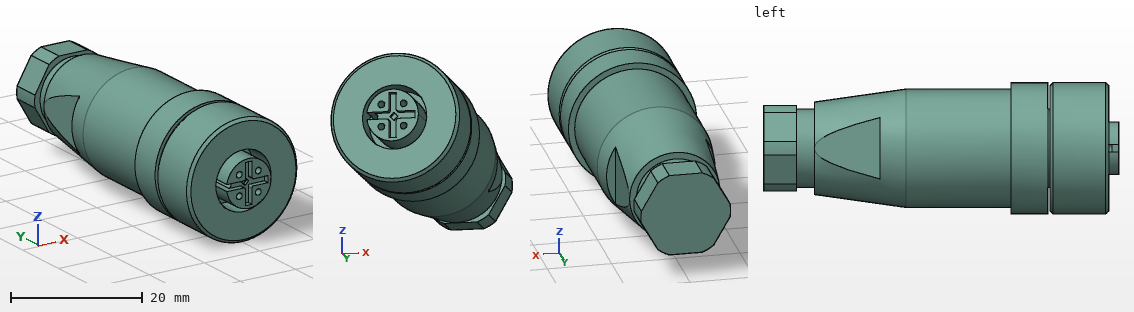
import cadquery as cq
import math


TIP_Y = 0.0
NUT_FRONT_Y = 1.5
NUT_BACK_Y = 10.5
COLLAR_FRONT_Y = 10.8
COLLAR_BACK_Y = 16.4
TAPER_START_Y = 32.35
FLAT_START_Y = 36.35
TAPER_END_Y = 46.3
HEX_FRONT_Y = 49.0
CABLE_END_Y = 54.0

NUT_DIAMETER = 20.05
NUT_CHAMFER = 0.5
COLLAR_DIAMETER = 20.0
NECK_DIAMETER = 12.0
BODY_DIAMETER = 18.05
TAPER_END_DIAMETER = 14.1
FLATS_WIDTH = TAPER_END_DIAMETER
HEX_ACROSS_FLATS = 13.0
HEX_CORNER_DIAMETER = 14.0

RECESS_DIAMETER = 10.0
INSERT_DIAMETER = 8.05
RECESS_FLOOR_Y = 6.5
INSERT_ROOT_LENGTH = 1.1
CROSS_LENGTH = 6.95
CROSS_WIDTH = 1.15
CROSS_DEPTH = 1.0
CROSS_CORNER_RADIUS = 0.3
CENTRE_SQUARE_DIAGONAL = 1.25
CENTRE_SQUARE_DEPTH = 0.55
KEYWAY_ARC_START = 2.9
KEYWAY_BOTTOM = 2.55
PIN_HOLE_DIAMETER = 1.0
PIN_HOLE_DEPTH = 4.3
PIN_OFFSET = 1.75


def plane_at(y):
    """Workplane facing +Y at station y, with its local x along X and local y along -Z."""
    return cq.Workplane(cq.Plane(origin=(0, y, 0), xDir=(1, 0, 0), normal=(0, 1, 0)))


def disc(diameter, start_y, end_y):
    return plane_at(start_y).circle(diameter / 2).extrude(end_y - start_y)


def make_nut():
    nut = disc(NUT_DIAMETER, NUT_FRONT_Y, NUT_BACK_Y)
    return nut.faces("<Y or >Y").edges().chamfer(NUT_CHAMFER)


def make_taper():
    length = TAPER_END_Y - TAPER_START_Y
    taper = cq.Workplane(
        cq.Solid.makeCone(
            BODY_DIAMETER / 2,
            TAPER_END_DIAMETER / 2,
            length,
            pnt=cq.Vector(0, TAPER_START_Y, 0),
            dir=cq.Vector(0, 1, 0),
        )
    )
    slab_length = TAPER_END_Y - FLAT_START_Y
    slab_width = (BODY_DIAMETER - FLATS_WIDTH) / 2
    for side in (-1, 1):
        slab = (
            plane_at(FLAT_START_Y)
            .center(side * (FLATS_WIDTH + slab_width) / 2, 0)
            .rect(slab_width, BODY_DIAMETER)
            .extrude(slab_length)
        )
        taper = taper.cut(slab)
    return taper


def make_hex_end():
    """Hexagon with flats facing +Z and -Z and its corners turned round."""
    length = CABLE_END_Y - HEX_FRONT_Y
    across_corners = HEX_ACROSS_FLATS / math.cos(math.pi / 6)
    hexagon = plane_at(HEX_FRONT_Y).polygon(6, across_corners).extrude(length)
    return hexagon.intersect(disc(HEX_CORNER_DIAMETER, HEX_FRONT_Y, CABLE_END_Y))


def make_cross():
    bar = plane_at(TIP_Y).rect(CROSS_LENGTH, CROSS_WIDTH).extrude(CROSS_DEPTH)
    cross = bar.union(bar.rotate((0, 0, 0), (0, 1, 0), 90))
    reach = CROSS_WIDTH
    inner_corners = cq.selectors.BoxSelector(
        (-reach, TIP_Y, -reach),
        (reach, TIP_Y + CROSS_DEPTH, reach),
    )
    return cross.edges("|Y").edges(inner_corners).fillet(CROSS_CORNER_RADIUS)


def make_keyway():
    """Slot entering the insert from its -X side and ending in a hollow arc."""
    outer_x = -INSERT_DIAMETER / 2
    half_width = CROSS_WIDTH / 2
    return (
        plane_at(TIP_Y)
        .moveTo(outer_x, half_width)
        .lineTo(-KEYWAY_ARC_START, half_width)
        .threePointArc((-KEYWAY_BOTTOM, 0), (-KEYWAY_ARC_START, -half_width))
        .lineTo(outer_x, -half_width)
        .close()
        .extrude(RECESS_FLOOR_Y - TIP_Y)
    )


def make_insert():
    insert = disc(INSERT_DIAMETER, TIP_Y, RECESS_FLOOR_Y + INSERT_ROOT_LENGTH)
    insert = insert.cut(make_cross()).cut(make_keyway())
    pin_holes = (
        plane_at(TIP_Y)
        .rect(2 * PIN_OFFSET, 2 * PIN_OFFSET, forConstruction=True)
        .vertices()
        .circle(PIN_HOLE_DIAMETER / 2)
        .extrude(PIN_HOLE_DEPTH)
    )
    centre_square = (
        plane_at(TIP_Y + CROSS_DEPTH)
        .polygon(4, CENTRE_SQUARE_DIAGONAL)
        .extrude(CENTRE_SQUARE_DEPTH)
    )
    return insert.cut(pin_holes).cut(centre_square)


recess = disc(RECESS_DIAMETER, NUT_FRONT_Y, RECESS_FLOOR_Y)

housing = (
    make_nut()
    .union(disc(NECK_DIAMETER, NUT_BACK_Y, COLLAR_FRONT_Y))
    .union(disc(COLLAR_DIAMETER, COLLAR_FRONT_Y, COLLAR_BACK_Y))
    .union(disc(BODY_DIAMETER, COLLAR_BACK_Y, TAPER_START_Y))
    .union(make_taper())
    .union(disc(NECK_DIAMETER, TAPER_END_Y, HEX_FRONT_Y))
    .union(make_hex_end())
)

result = housing.cut(recess).union(make_insert())